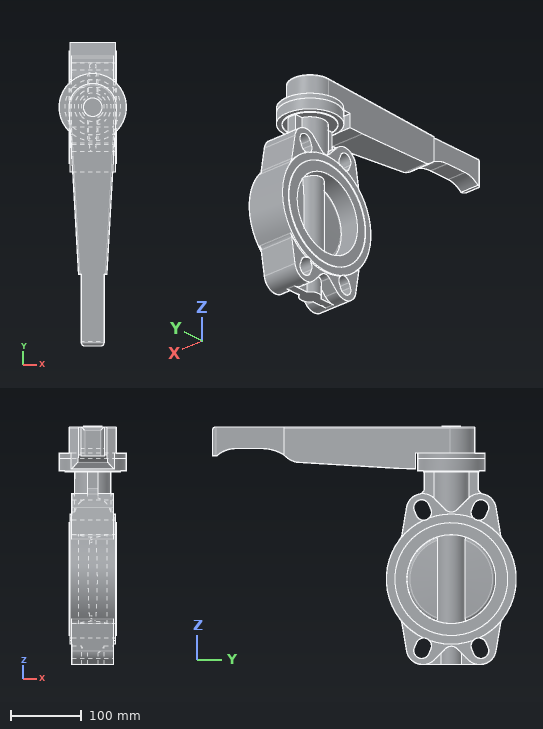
import cadquery as cq
import math

half_right = math.radians(45)


bore_diameter = 125.0
ring_diameter = 183.5
ring_width = 64.5
seat_diameter = 159.0
seat_width = 66.5
lug_width = 59.0
lug_count = 8
bolt_circle_radius = 105.5
slot_diameter = 22.0
slot_length = 29.0
lug_radius = 23.0
lug_side_angle = 9.5
lug_valley_radius = 11.5
lug_root_fillet = 13.0
neck_diameter = 51.5
foot_diameter = 32.0
rib_thickness = 14.5
rib_span = 76.5
rib_fillet = 7.7
flange_diameter = 95.0
flange_bottom = 152.5
flange_thickness = 17.0
flange_step_diameter = 79.0
flange_step_height = 1.5

hub_diameter = 40.5
disc_rim_round = 4.5
disc_rim_land = 0.5
disc_crown = 2.0

plate_thickness = 7.7

lever_height = 37.5
lever_root_radius = 33.5
lever_tip_y = ring_diameter / 2 - 428.5
lever_taper_end_y = -235.8
lever_taper_end_half_width = 20.0
lever_top_round = 2.0
grip_width = 32.5
grip_end_round = 5.5
skirt_gap = 2.5
skirt_depth = 22.5
skirt_flat_end_y = -77.0
skirt_rise = 1.0
heel_start_y = -218.0
heel_start_depth = 13.0
heel_radius = 34.5
heel_end_depth = 2.5
grip_flat_start_y = -267.0
grip_flat_end_y = -304.0
grip_depth = 31.0
grip_tip_start_y = -330.5
grip_tip_depth = 41.0
cap_diameter = 26.0
cap_height = 1.5

bolt_angle = math.radians(180 / lug_count)
lug_y = bolt_circle_radius * math.sin(bolt_angle)
lug_z = bolt_circle_radius * math.cos(bolt_angle)
lug_top = lug_z + lug_radius
wall_middle = (bore_diameter + ring_diameter) / 4
flange_top = flange_bottom + flange_thickness
plate_top = flange_top + plate_thickness
lever_top = plate_top + lever_height


def across_flow(width):
    """Sketch plane facing +X, placed so that extruding by the width centres the shape on X."""
    return cq.Workplane("YZ").workplane(offset=-width / 2)


def cylinder_x(diameter, width):
    """Cylinder along X, centred on the bore."""
    return across_flow(width).circle(diameter / 2).extrude(width)


def cylinder_z(diameter, bottom, top):
    """Cylinder along the stem axis."""
    return cq.Workplane("XY").workplane(offset=bottom).circle(diameter / 2).extrude(top - bottom)


def lug_pair():
    """Upper two lugs: rounded ears with a rounded 45 degree valley between them."""
    side = math.radians(lug_side_angle)

    def on_ear(angle):
        return lug_y + lug_radius * math.cos(angle), lug_z + lug_radius * math.sin(angle)

    outer_y, outer_z = on_ear(side)
    top_y, top_z = on_ear(math.pi / 2)
    inner_y, inner_z = on_ear(math.pi - half_right)
    root_z = ring_diameter / 4
    root_y = outer_y + (outer_z - root_z) * math.tan(side)
    valley_y = lug_valley_radius * math.sin(half_right)
    valley_z = inner_z - (inner_y - valley_y) * math.tan(half_right)
    valley_bottom = valley_z - lug_valley_radius * (1 - math.cos(half_right))
    return (
        across_flow(lug_width)
        .moveTo(root_y, root_z)
        .lineTo(outer_y, outer_z)
        .threePointArc((top_y, top_z), (inner_y, inner_z))
        .lineTo(valley_y, valley_z)
        .threePointArc((0, valley_bottom), (-valley_y, valley_z))
        .lineTo(-inner_y, inner_z)
        .threePointArc((-top_y, top_z), (-outer_y, outer_z))
        .lineTo(-root_y, root_z)
        .close()
        .extrude(lug_width)
    )


def lug_frame():
    """Core of the ring with both lug pairs, filleted where the lugs leave the ring."""
    upper = lug_pair()
    frame = cylinder_x(ring_diameter, lug_width).union(upper).union(upper.mirror("XY"))
    low, high = ring_diameter / 4, lug_z - lug_radius
    for bottom, top in ((low, high), (-high, -low)):
        band = cq.selectors.BoxSelector((-lug_width, -lug_z, bottom), (lug_width, lug_z, top))
        frame = frame.edges("|X").edges(band).fillet(lug_root_fillet)
    return frame


def neck_rib():
    """Flat web through the neck, with a concave fillet where it stands on each lug."""
    half = rib_span / 2
    fillet_y = half + rib_fillet
    fillet_z = lug_z + math.sqrt((lug_radius + rib_fillet) ** 2 - (fillet_y - lug_y) ** 2)
    share = lug_radius / (lug_radius + rib_fillet)
    touch_y = lug_y + share * (fillet_y - lug_y)
    touch_z = lug_z + share * (fillet_z - lug_z)
    middle_y = fillet_y - rib_fillet * math.cos(half_right)
    middle_z = fillet_z - rib_fillet * math.sin(half_right)
    return (
        across_flow(rib_thickness)
        .moveTo(-lug_y, lug_z)
        .lineTo(lug_y, lug_z)
        .lineTo(touch_y, touch_z)
        .threePointArc((middle_y, middle_z), (half, fillet_z))
        .lineTo(half, flange_bottom)
        .lineTo(-half, flange_bottom)
        .lineTo(-half, fillet_z)
        .threePointArc((-middle_y, middle_z), (-touch_y, touch_z))
        .close()
        .extrude(rib_thickness)
    )


def foot():
    """Lower stem boss and the web that joins the lower lugs."""
    boss = cylinder_z(foot_diameter, -lug_top, -wall_middle)
    web_height = lug_top - wall_middle
    web = cq.Workplane("XY").box(rib_thickness, 2 * lug_y, web_height, centered=(True, True, False))
    return boss.union(web.translate((0, 0, -lug_top)))


def lug_slot(angle):
    """Slot along the flow, stretched along the radius at this angle from vertical."""
    return (
        across_flow(seat_width)
        .center(bolt_circle_radius * math.sin(angle), bolt_circle_radius * math.cos(angle))
        .slot2D(slot_length, slot_diameter, 90 - math.degrees(angle))
        .extrude(seat_width)
    )


def make_housing():
    housing = (
        lug_frame()
        .union(cylinder_x(ring_diameter, ring_width))
        .union(cylinder_x(seat_diameter, seat_width))
        .cut(cylinder_x(bore_diameter, 2 * seat_width))
        .union(foot())
        .union(neck_rib())
        .union(cylinder_z(neck_diameter, wall_middle, flange_bottom))
        .union(cylinder_z(flange_step_diameter, flange_bottom - flange_step_height, flange_bottom))
        .union(cylinder_z(flange_diameter, flange_bottom, flange_top))
    )
    for angle in (bolt_angle, math.pi - bolt_angle, math.pi + bolt_angle, -bolt_angle):
        housing = housing.cut(lug_slot(angle))
    return housing


def make_disc():
    """Closed disc with domed faces and a rounded rim, crossed by its hub."""
    radius = bore_diameter / 2
    face_radius = radius - disc_rim_round
    land = disc_rim_land / 2
    rim = land + disc_rim_round
    crown = rim + disc_crown
    round_in = disc_rim_round * (1 - math.sin(half_right))
    sphere_radius = (face_radius**2 + disc_crown**2) / (2 * disc_crown)
    mid_r = face_radius / 2
    mid_x = crown - sphere_radius + math.sqrt(sphere_radius**2 - mid_r**2)
    plate = (
        cq.Workplane("XZ")
        .moveTo(-crown, 0)
        .lineTo(crown, 0)
        .threePointArc((mid_x, mid_r), (rim, face_radius))
        .threePointArc((rim - round_in, radius - round_in), (land, radius))
        .lineTo(-land, radius)
        .threePointArc((round_in - rim, radius - round_in), (-rim, face_radius))
        .threePointArc((-mid_x, mid_r), (-crown, 0))
        .close()
        .revolve(360, (0, 0, 0), (1, 0, 0))
    )
    hub = cylinder_z(hub_diameter, -radius, radius).intersect(cylinder_x(bore_diameter, ring_width))
    return plate.union(hub)


def make_index_plate():
    return cylinder_z(flange_diameter, flange_top, plate_top)


def tangent_radius(run, rise):
    """Radius of an arc that leaves a level line and drops by the rise over the run."""
    return (run**2 + rise**2) / (2 * rise)


def lever_side_profile():
    """Solid across X with the lever's side outline: notch over the flange, skirt, finger grip."""
    notch_y = -flange_diameter / 2 - skirt_gap
    skirt_bottom = plate_top - skirt_depth
    heel_end_z = plate_top - heel_end_depth
    grip_z = lever_top - grip_depth
    tip_z = lever_top - grip_tip_depth
    heel_side = tangent_radius(lever_taper_end_y - grip_flat_start_y, grip_z - heel_end_z)
    tip_side = tangent_radius(grip_flat_end_y - grip_tip_start_y, grip_z - tip_z)
    return (
        across_flow(2 * lever_root_radius)
        .moveTo(lever_root_radius, lever_top)
        .lineTo(lever_root_radius, plate_top)
        .lineTo(notch_y, plate_top)
        .lineTo(notch_y, skirt_bottom)
        .lineTo(skirt_flat_end_y, skirt_bottom + skirt_rise)
        .lineTo(heel_start_y, plate_top - heel_start_depth)
        .radiusArc((lever_taper_end_y, heel_end_z), heel_radius)
        .radiusArc((grip_flat_start_y, grip_z), -heel_side)
        .lineTo(grip_flat_end_y, grip_z)
        .radiusArc((grip_tip_start_y, tip_z), -tip_side)
        .lineTo(lever_tip_y, tip_z)
        .lineTo(lever_tip_y, lever_top)
        .close()
        .extrude(2 * lever_root_radius)
    )


def lever_arm_plan():
    """Tapered arm: straight sides tangent to the round root."""
    reach = -lever_taper_end_y
    corner_distance = math.hypot(reach, lever_taper_end_half_width)
    taper = math.asin(lever_root_radius / corner_distance) - math.atan2(lever_taper_end_half_width, reach)
    tangent_x = lever_root_radius * math.cos(taper)
    tangent_y = -lever_root_radius * math.sin(taper)
    return (
        cq.Workplane("XY")
        .workplane(offset=flange_bottom)
        .moveTo(tangent_x, tangent_y)
        .threePointArc((0, lever_root_radius), (-tangent_x, tangent_y))
        .lineTo(-lever_taper_end_half_width, lever_taper_end_y)
        .lineTo(lever_taper_end_half_width, lever_taper_end_y)
        .close()
        .extrude(lever_top - flange_bottom)
    )


def make_lever():
    profile = lever_side_profile()
    arm = profile.intersect(lever_arm_plan())
    arm = arm.faces(">Z").edges("not <Y").fillet(lever_top_round)
    grip_bar = (
        cq.Workplane("XY")
        .box(grip_width, lever_taper_end_y - lever_tip_y, lever_top, centered=(True, False, False))
        .translate((0, lever_tip_y, 0))
    )
    grip = profile.intersect(grip_bar)
    grip = grip.faces("<Y").edges("not <Z").fillet(grip_end_round)
    cap = cylinder_z(cap_diameter, lever_top, lever_top + cap_height)
    return arm.union(grip).union(cap)


housing = make_housing()
disc = make_disc()
index_plate = make_index_plate()
lever = make_lever()

result = cq.Compound.makeCompound([housing.val(), disc.val(), index_plate.val(), lever.val()])